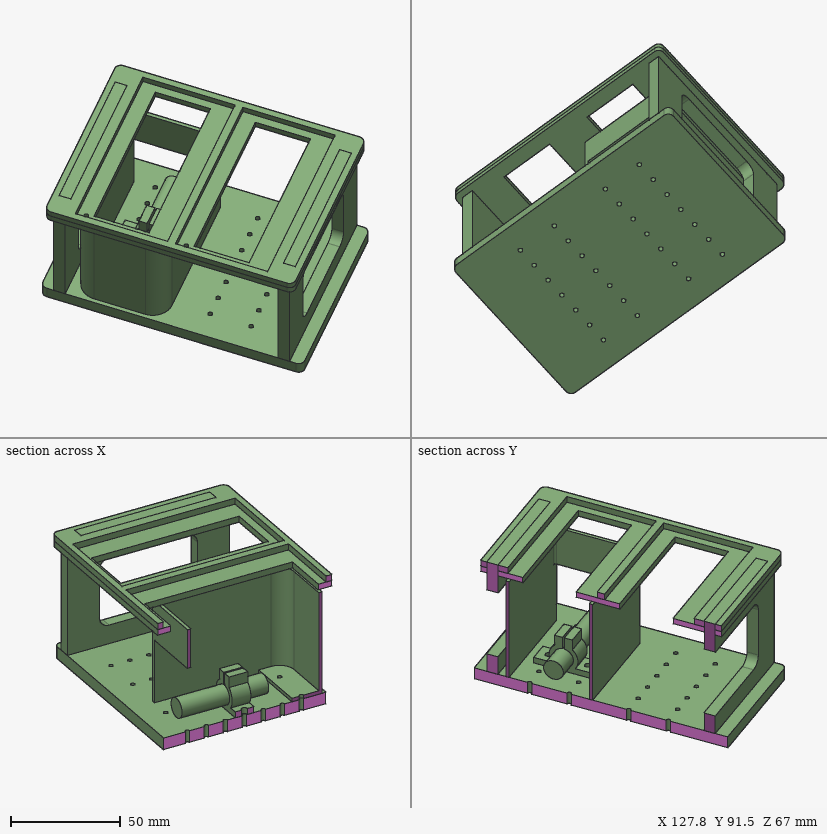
import cadquery as cq

BASE_LENGTH = 127.8
BASE_DEPTH = 85.2
BASE_THICKNESS = 6.3
CORNER_RADIUS = 3.1

TOP_LENGTH = 121.4
TOP_DEPTH = 91.5
TOP_STACK_THICKNESS = 6.3
TOP_PLATE_THICKNESS = TOP_STACK_THICKNESS / 2
OVERALL_HEIGHT = 67.0
LEDGE_BOTTOM = OVERALL_HEIGHT - TOP_STACK_THICKNESS
FRAME_BOTTOM = OVERALL_HEIGHT - TOP_PLATE_THICKNESS

SEAT_PITCH = 48.8
SEAT_CENTERS = (-SEAT_PITCH / 2, SEAT_PITCH / 2)
SEAT_LENGTH = 45.0
SEAT_DEPTH = 85.2
WINDOW_LENGTH = 26.8
WINDOW_DEPTH = 77.4
WINDOW_SHIFT_X = -1.5
WINDOW_SHIFT_Y = 0.1
MARK_HOLE_DIAMETER = 2.0
MARK_HOLE_SHIFT_X = -18.4
MARK_HOLE_Y = -39.6

WALL_THICKNESS = 5.7
WALL_OUTER_X = 57.6
WALL_CENTER_X = WALL_OUTER_X - WALL_THICKNESS / 2
TAB_DEPTH = 70.9
WALL_OPENING_DEPTH = 51.4
WALL_OPENING_BOTTOM = 16.0
WALL_OPENING_TOP = 51.2
WALL_OPENING_RADIUS = 5.0

STATION_PITCH = 50.0
STATION_X = -26.0
STATION_Y = 0.1
HOLE_COLUMN_PITCH = 19.9
HOLE_ROW_PITCH = 10.0
HOLE_ROWS = 7
GRID_HOLE_DIAMETER = 2.0

SHROUD_LENGTH = 44.0
SHROUD_FRONT = -40.6
SHROUD_BACK = 30.0
SHROUD_TOP = 59.3
SHROUD_WALL = 1.8
SHROUD_FRONT_RADIUS = 9.5
SHROUD_BACK_INNER_RADIUS = 1.0
BACK_OPENING_TOP = 39.0
FLOOR_FLANGE_BACK = -24.7

ROD_DIAMETER = 10.0
ROD_FRONT = -15.5
CLIP_WIDTH = 9.8
CLIP_RING_DIAMETER = 14.6
ROD_AXIS_Z = BASE_THICKNESS + CLIP_RING_DIAMETER / 2
CLIP_FOOT_LENGTH = 30.0
CLIP_FOOT_THICKNESS = 3.1
CLIP_EARS_LENGTH = 9
CLIP_EARS_HEIGHT = 4.0
CLIP_SLIT = 0.9
CLIP_HOLE_DIAMETER = 3.0


def block(length, depth, bottom, top, x=0, y=0):
    """Upright box centred on (x, y) between two heights."""
    return cq.Workplane("XY", origin=(x, y, bottom)).rect(length, depth).extrude(top - bottom)


def rod_along_y(diameter, front, back):
    """Cylinder on the rod axis between two Y positions."""
    plane = cq.Workplane("XZ", origin=(STATION_X, front, ROD_AXIS_Z))
    return plane.circle(diameter / 2).extrude(front - back)


def station_holes(station_x):
    """Cutters for the hole grid of one station, taller than the base and the shroud floor."""
    grid = cq.Workplane("XY", origin=(station_x, STATION_Y, 0))
    grid = grid.rarray(HOLE_COLUMN_PITCH, HOLE_ROW_PITCH, 2, HOLE_ROWS)
    return grid.circle(GRID_HOLE_DIAMETER / 2).extrude(BASE_THICKNESS + SHROUD_WALL)


def make_base():
    base = block(BASE_LENGTH, BASE_DEPTH, 0, BASE_THICKNESS).edges("|Z").fillet(CORNER_RADIUS)
    for station_x in (STATION_X, STATION_X + STATION_PITCH):
        base = base.cut(station_holes(station_x))
    return base


def make_side_wall(x):
    wall = block(WALL_THICKNESS, BASE_DEPTH, BASE_THICKNESS, LEDGE_BOTTOM, x)
    opening = block(WALL_THICKNESS, WALL_OPENING_DEPTH, WALL_OPENING_BOTTOM, WALL_OPENING_TOP, x)
    tab = block(WALL_THICKNESS, TAB_DEPTH, LEDGE_BOTTOM, OVERALL_HEIGHT, x)
    return wall.cut(opening.edges("|X").fillet(WALL_OPENING_RADIUS)).union(tab)


def make_top_blank(bottom):
    """Rounded top plate with a slot for each wall tab."""
    top = bottom + TOP_PLATE_THICKNESS
    plate = block(TOP_LENGTH, TOP_DEPTH, bottom, top).edges("|Z").fillet(CORNER_RADIUS)
    for x in (-WALL_CENTER_X, WALL_CENTER_X):
        plate = plate.cut(block(WALL_THICKNESS, TAB_DEPTH, bottom, top, x))
    return plate


def make_ledge_plate():
    plate = make_top_blank(LEDGE_BOTTOM)
    for x in SEAT_CENTERS:
        window_x = x + WINDOW_SHIFT_X
        window = block(WINDOW_LENGTH, WINDOW_DEPTH, LEDGE_BOTTOM, FRAME_BOTTOM, window_x, WINDOW_SHIFT_Y)
        hole = cq.Workplane("XY", origin=(x + MARK_HOLE_SHIFT_X, MARK_HOLE_Y, LEDGE_BOTTOM))
        hole = hole.circle(MARK_HOLE_DIAMETER / 2).extrude(TOP_PLATE_THICKNESS)
        plate = plate.cut(window).cut(hole)
    return plate


def make_frame_plate():
    plate = make_top_blank(FRAME_BOTTOM)
    for x in SEAT_CENTERS:
        plate = plate.cut(block(SEAT_LENGTH, SEAT_DEPTH, FRAME_BOTTOM, OVERALL_HEIGHT, x))
    return plate


def make_shroud():
    depth = SHROUD_BACK - SHROUD_FRONT
    center_y = (SHROUD_FRONT + SHROUD_BACK) / 2
    inner_length = SHROUD_LENGTH - 2 * SHROUD_WALL
    outer = block(SHROUD_LENGTH, depth, BASE_THICKNESS, SHROUD_TOP, STATION_X, center_y)
    outer = outer.edges("|Z and <Y").fillet(SHROUD_FRONT_RADIUS)
    inner = block(inner_length, depth - 2 * SHROUD_WALL, BASE_THICKNESS, SHROUD_TOP, STATION_X, center_y)
    inner = inner.edges("|Z and <Y").fillet(SHROUD_FRONT_RADIUS - SHROUD_WALL)
    inner = inner.edges("|Z and >Y").fillet(SHROUD_BACK_INNER_RADIUS)

    flange_depth = FLOOR_FLANGE_BACK - SHROUD_FRONT
    flange_y = (FLOOR_FLANGE_BACK + SHROUD_FRONT) / 2
    flange_top = BASE_THICKNESS + SHROUD_WALL
    flange = block(SHROUD_LENGTH, flange_depth, BASE_THICKNESS, flange_top, STATION_X, flange_y)
    shroud = outer.cut(inner.cut(flange))

    opening_depth = SHROUD_WALL + SHROUD_BACK_INNER_RADIUS
    opening_y = SHROUD_BACK - opening_depth / 2
    opening = block(inner_length, opening_depth, BASE_THICKNESS, BACK_OPENING_TOP, STATION_X, opening_y)
    return shroud.cut(opening).cut(station_holes(STATION_X))


def make_rod():
    return rod_along_y(ROD_DIAMETER, ROD_FRONT, SHROUD_BACK)


def make_clip():
    front = STATION_Y - CLIP_WIDTH / 2
    back = STATION_Y + CLIP_WIDTH / 2
    ears_top = ROD_AXIS_Z + CLIP_RING_DIAMETER / 2 + CLIP_EARS_HEIGHT
    foot_top = BASE_THICKNESS + CLIP_FOOT_THICKNESS
    foot = block(CLIP_FOOT_LENGTH, CLIP_WIDTH, BASE_THICKNESS, foot_top, STATION_X, STATION_Y)
    holes = cq.Workplane("XY", origin=(STATION_X, STATION_Y, BASE_THICKNESS))
    holes = holes.rarray(HOLE_COLUMN_PITCH, 1.3, 2, 1)
    holes = holes.circle(CLIP_HOLE_DIAMETER / 2).extrude(CLIP_FOOT_THICKNESS)
    ring = rod_along_y(CLIP_RING_DIAMETER, front, back)
    ears = block(CLIP_EARS_LENGTH, CLIP_WIDTH, ROD_AXIS_Z, ears_top, STATION_X, STATION_Y)
    slit = block(CLIP_SLIT, CLIP_WIDTH, ROD_AXIS_Z, ears_top, STATION_X, STATION_Y)
    bore = rod_along_y(ROD_DIAMETER, front, back)
    return foot.cut(holes).union(ring).union(ears).cut(slit).cut(bore)


base = make_base()
side_walls = [make_side_wall(x) for x in (-WALL_CENTER_X, WALL_CENTER_X)]
ledge_plate = make_ledge_plate()
frame_plate = make_frame_plate()
shroud = make_shroud()
rod = make_rod()
clip = make_clip()

bodies = [base, *side_walls, ledge_plate, frame_plate, shroud, rod, clip]
result = cq.Compound.makeCompound([body.solids().val() for body in bodies])